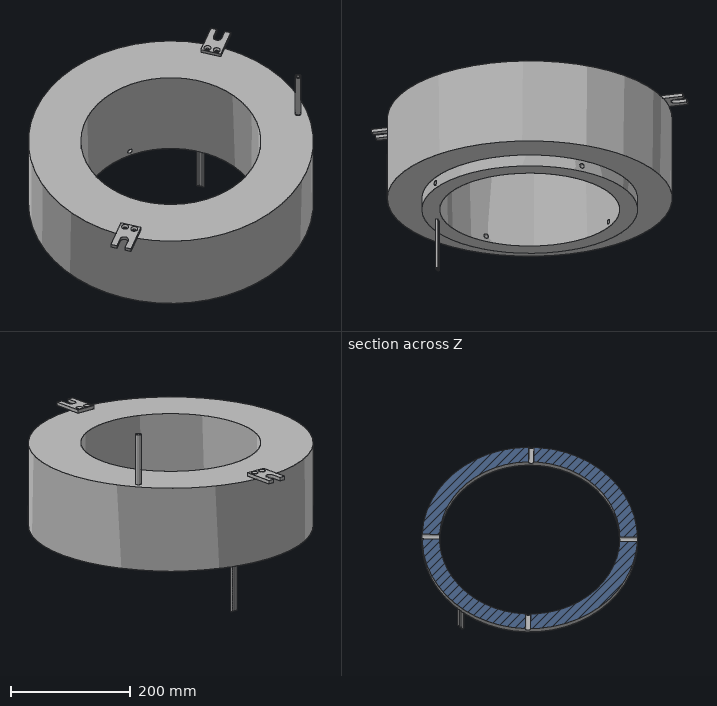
import cadquery as cq
import math

body_diameter = 476.0
bore_diameter = 300.0
body_height = 146.5

collar_diameter = 360.0
collar_height = 20.0
collar_hole_diameter = 8.0
collar_hole_count = 4
collar_hole_start_angle = 45

overall_length = 540
lug_length = 54.0
lug_width = 35.0
lug_thickness = 6.0
lug_slot_width = 14.0
lug_slot_depth = 24.5
screw_spacing = 16.0
screw_inset = 7.0
screw_hole_diameter = 5.5
screw_head_diameter = 11.5
countersink_angle = 90

overall_height = 343.0
wire_length = 89.0
sleeve_diameter = 9.5
sleeve_bore = 6.0
sleeve_radius = 222.0
sleeve_angle = 35

wire_diameter = 4.5
wire_pitch = 4.6
wire_count = 3
wire_row_y = 160.5

sleeve_length = overall_height - body_height - collar_height - wire_length


def make_body():
    """Ring-shaped body with the smaller collar below it, bored right through."""
    body = cq.Workplane("XY").circle(body_diameter / 2).extrude(body_height)
    collar = cq.Workplane("XY").circle(collar_diameter / 2).extrude(-collar_height)
    bore = (
        cq.Workplane("XY", origin=(0, 0, -collar_height))
        .circle(bore_diameter / 2)
        .extrude(collar_height + body_height)
    )
    return body.union(collar).cut(bore)


def make_collar_hole(angle):
    """Radial drill through the collar wall at mid height."""
    drill = (
        cq.Workplane("YZ", origin=(0, 0, -collar_height / 2))
        .circle(collar_hole_diameter / 2)
        .extrude(collar_diameter / 2)
    )
    return drill.rotate((0, 0, 0), (0, 0, 1), angle)


def make_lug():
    """Lug on the +Y side: open slot at the outer end, two countersunk holes at the inner end."""
    outer_end = overall_length / 2
    inner_end = outer_end - lug_length
    slot_center = outer_end - lug_slot_depth + lug_slot_width / 2
    plate = (
        cq.Workplane("XY", origin=(0, (inner_end + outer_end) / 2, body_height))
        .box(lug_width, lug_length, lug_thickness, centered=(True, True, False))
    )
    slot = (
        cq.Workplane("XY", origin=(0, 0, body_height))
        .moveTo(-lug_slot_width / 2, outer_end)
        .lineTo(-lug_slot_width / 2, slot_center)
        .threePointArc((0, outer_end - lug_slot_depth), (lug_slot_width / 2, slot_center))
        .lineTo(lug_slot_width / 2, outer_end)
        .close()
        .extrude(lug_thickness)
    )
    return (
        plate.cut(slot)
        .faces(">Z")
        .workplane(origin=(0, inner_end + screw_inset, 0))
        .pushPoints([(-screw_spacing / 2, 0), (screw_spacing / 2, 0)])
        .cskHole(screw_hole_diameter, screw_head_diameter, countersink_angle)
    )


def make_sleeve():
    """Hollow cable sleeve standing on the top face."""
    angle = math.radians(sleeve_angle)
    center = (sleeve_radius * math.cos(angle), sleeve_radius * math.sin(angle), body_height)
    return (
        cq.Workplane("XY", origin=center)
        .circle(sleeve_diameter / 2)
        .circle(sleeve_bore / 2)
        .extrude(sleeve_length)
    )


def make_wires():
    """Row of separate round wires below the collar."""
    wires = cq.Workplane("XY")
    for index in range(wire_count):
        x = (index - (wire_count - 1) / 2) * wire_pitch
        wire = (
            cq.Workplane("XY", origin=(x, wire_row_y, -collar_height))
            .circle(wire_diameter / 2)
            .extrude(-wire_length)
        )
        wires = wires.union(wire)
    return wires


result = make_body()
for index in range(collar_hole_count):
    hole_angle = collar_hole_start_angle + index * 360 / collar_hole_count
    result = result.cut(make_collar_hole(hole_angle))

lug = make_lug()
result = result.union(lug).union(lug.mirror("XZ"))
result = result.union(make_sleeve()).union(make_wires())